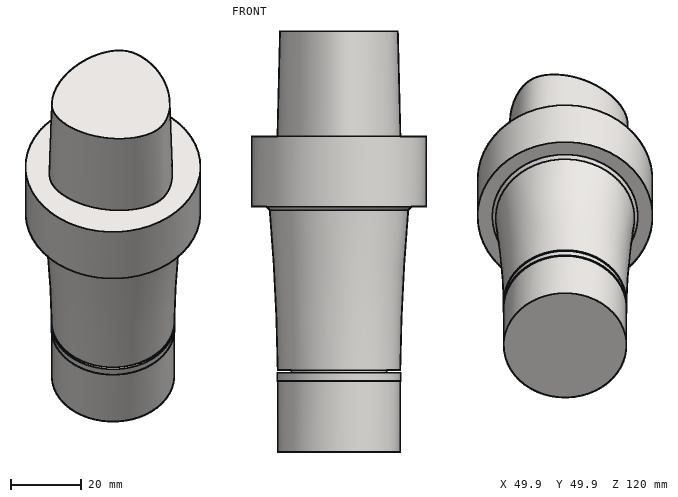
import cadquery as cq
import math

total_height = 120.0
polygon_height = 30.0
flange_height = 20.0
flange_top = total_height - polygon_height
flange_bottom = flange_top - flange_height
collar_height = 1.0
collar_bottom = flange_bottom - collar_height
groove_top = 23.4
groove_width = 0.7
groove_bottom = groove_top - groove_width
step_height = 20.4
step_chamfer = 0.2

flange_radius = 49.9 / 2
collar_radius = 20.8
neck_top_radius = 19.8
neck_middle_radius = 18.2
neck_bottom_radius = 35.0 / 2
groove_radius = 27.4 / 2
ring_radius = 35.3 / 2
base_radius = 35.0 / 2

polygon_width = 35.2
lobe_depth = 1.05
taper_ratio = 1 / 20
curve_points = 48


def turned_body():
    """Base, ring, groove, curved neck, collar and flange, turned about Z."""
    neck_middle = (neck_middle_radius, (collar_bottom + groove_top) / 2)
    profile = (
        cq.Workplane("XZ")
        .moveTo(0, 0)
        .lineTo(base_radius, 0)
        .lineTo(base_radius, step_height - step_chamfer)
        .lineTo(ring_radius, step_height)
        .lineTo(ring_radius, groove_bottom)
        .lineTo(groove_radius, groove_bottom)
        .lineTo(groove_radius, groove_top)
        .lineTo(neck_bottom_radius, groove_top)
        .threePointArc(neck_middle, (neck_top_radius, collar_bottom))
        .lineTo(collar_radius, flange_bottom)
        .lineTo(flange_radius, flange_bottom)
        .lineTo(flange_radius, flange_top)
        .lineTo(0, flange_top)
        .close()
    )
    return profile.revolve(360, (0, 0, 0), (0, 1, 0))


def lobed_outline(width):
    """Constant-width curve with one lobe toward -Y and two toward +Y."""
    points = []
    for index in range(curve_points):
        angle = 2 * math.pi * index / curve_points
        reach = width / 2 + lobe_depth * math.sin(3 * angle)
        slide = 3 * lobe_depth * math.cos(3 * angle)
        x = reach * math.cos(angle) - slide * math.sin(angle)
        y = reach * math.sin(angle) + slide * math.cos(angle)
        points.append(cq.Vector(x, y, 0))
    return cq.Wire.assembleEdges([cq.Edge.makeSpline(points, periodic=True)])


def lobed_taper():
    """Three-lobed shank that narrows upward from the flange."""
    top_width = polygon_width - polygon_height * taper_ratio
    lower = lobed_outline(polygon_width).translate(cq.Vector(0, 0, flange_top))
    upper = lobed_outline(top_width).translate(cq.Vector(0, 0, total_height))
    return cq.Workplane(obj=cq.Solid.makeLoft([lower, upper], True))


result = turned_body().union(lobed_taper())